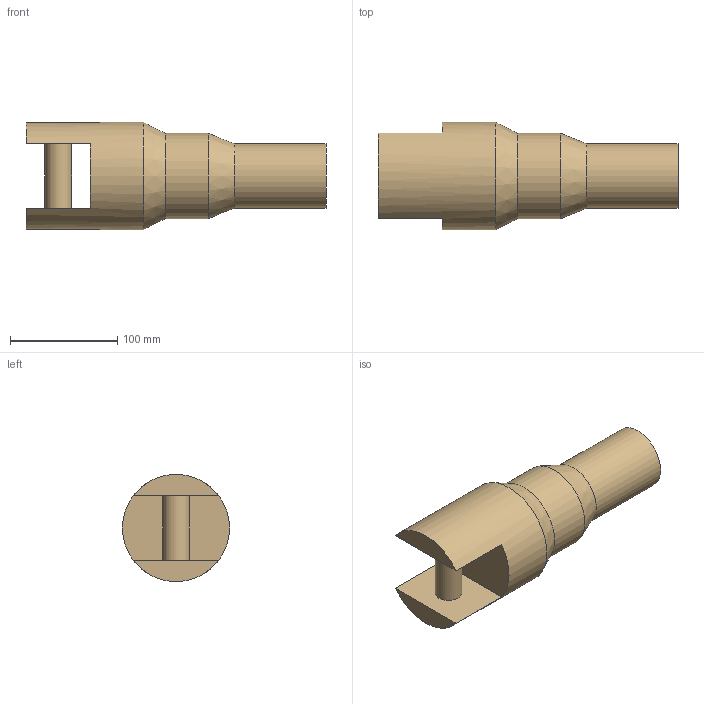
import cadquery as cq

body_diameter = 100.0
collar_diameter = 80.0
shank_diameter = 60.0

body_end = 110.0
collar_start = 130.0
collar_end = 170.0
shank_start = 195.0
total_length = 280.0

slot_depth = 60.0
slot_height = 60.0

pin_diameter = 25.0
pin_x = slot_depth / 2


def make_shaft():
    """Revolve the -Y half profile (three cylinders joined by two cones) about X."""
    profile = (
        cq.Workplane("XY")
        .moveTo(0, 0)
        .lineTo(0, -body_diameter / 2)
        .lineTo(body_end, -body_diameter / 2)
        .lineTo(collar_start, -collar_diameter / 2)
        .lineTo(collar_end, -collar_diameter / 2)
        .lineTo(shank_start, -shank_diameter / 2)
        .lineTo(total_length, -shank_diameter / 2)
        .lineTo(total_length, 0)
        .close()
    )
    return profile.revolve(360, (0, 0, 0), (1, 0, 0))


def make_slot():
    """Rectangular block that separates the two fork cheeks."""
    return cq.Workplane("XY").box(
        slot_depth, body_diameter, slot_height, centered=(False, True, True)
    )


def make_pin():
    """Pin spanning the slot from cheek to cheek."""
    return (
        cq.Workplane("XY", origin=(pin_x, 0, -slot_height / 2))
        .circle(pin_diameter / 2)
        .extrude(slot_height)
    )


result = make_shaft().cut(make_slot()).union(make_pin())